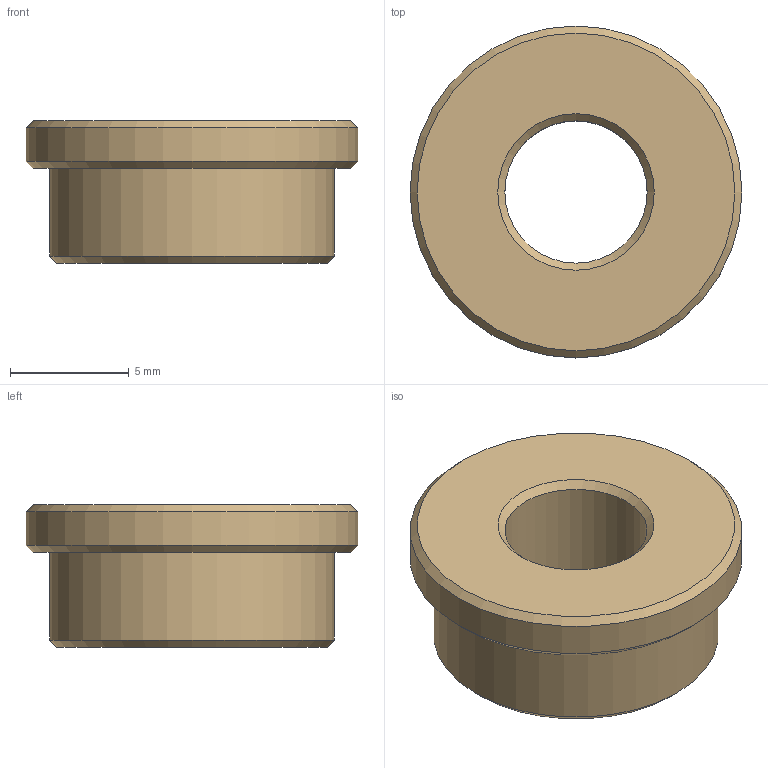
import cadquery as cq

flange_diameter = 14.0
sleeve_diameter = 12.0
bore_diameter = 6.0
total_height = 6.0
flange_thickness = 2.0
edge_chamfer = 0.3

sleeve_height = total_height - flange_thickness


def make_sleeve():
    """Cylindrical sleeve with its lower outer edge chamfered."""
    sleeve = cq.Workplane("XY").circle(sleeve_diameter / 2).extrude(sleeve_height)
    return sleeve.faces("<Z").edges().chamfer(edge_chamfer)


def make_flange():
    """Flange disc with both rims chamfered, seated on the sleeve."""
    disc = cq.Workplane("XY").workplane(offset=sleeve_height)
    disc = disc.circle(flange_diameter / 2).extrude(flange_thickness)
    return disc.faces("<Z or >Z").edges().chamfer(edge_chamfer)


def cut_bore(body):
    """Through bore with a chamfered mouth in the flange face."""
    bored = body.faces(">Z").workplane(origin=(0, 0, total_height)).hole(bore_diameter)
    bore_mouth = bored.faces(">Z").edges(cq.selectors.RadiusNthSelector(0))
    return bore_mouth.chamfer(edge_chamfer)


result = cut_bore(make_sleeve().union(make_flange()))